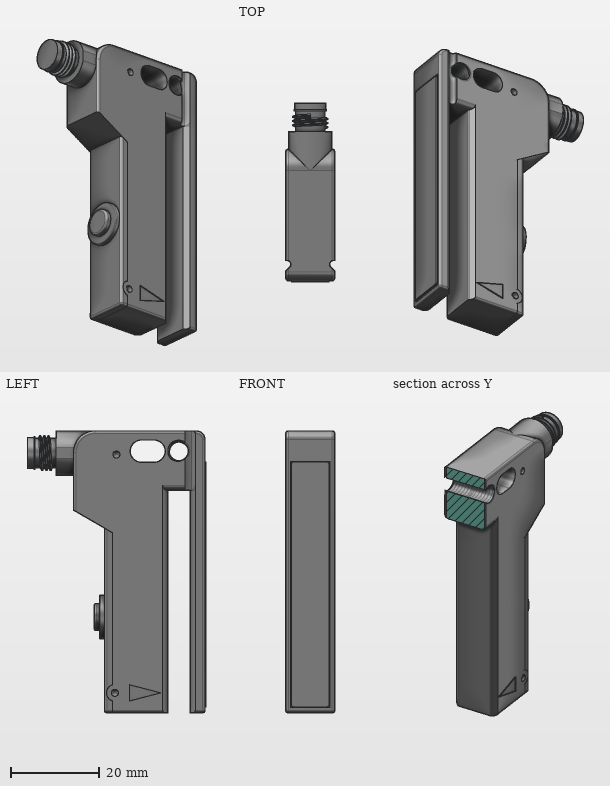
import cadquery as cq
import math


width = 11.15
half_width = width / 2
height = 64.0
edge_round = 0.6
overcut = 1.0

gap_front = 3.4
gap_back = 8.5
gap_top = 50.5
gap_bevel = 1.15
arm_front_round = 0.5
arm_back = 22.9
front_corner_radius = 2.0

head_back = 29.9
head_front = 14.0
head_corner_radius = 4.9
slant_angle = math.radians(30)
slant_back_z = 46.0

groove_radius = 0.85
groove_depth = gap_bevel

mount_z = 59.4
slot_y = 13.05
slot_length = 7.9
slot_width = 5.0
screw_y = 6.0
screw_bore = 4.3
screw_major = 5.0
screw_pitch = 0.8

dimple_diameter = 1.6
upper_dimple = (20.15, 58.65)
lower_dimple = (20.5, 4.55)
arrow_tip_y = 10.1
arrow_back_y = 17.2
arrow_half_height = 1.85
arrow_depth = 0.2

cover_front = 21.05
cover_notch_radius = 1.9

pocket_width = 9.0
pocket_bottom = 1.2
pocket_top = 57.1
pocket_depth = 0.2
label_clearance = 0.2
label_projection = 0.2
label_corner_radius = 0.5

button_z = 21.75
flange_diameter = 9.95
flange_thickness = 1.05
flange_round = 0.2
cap_diameter = 6.2
cap_height = 1.25
cap_round = 0.5

barrel_radius = 5.04
barrel_z = height - barrel_radius
barrel_back = 33.85
barrel_flat_distance = 4.88
connector_back = 40.35
tip_length = 1.5
tip_diameter = 7.1
ring_width = 0.25
ring_diameter = 7.45
neck_diameter = 6.8
plug_major = 8.0
plug_pitch = 0.95
plug_thread_start = 34.85
plug_thread_turns = 2.75

thread_overlap = 0.1
thread_root_share = 0.9
thread_crest_share = 0.2


def side_profile(points):
    """Closed polygon of (y, z) points in the middle plane X = 0."""
    return cq.Workplane("YZ").polyline(points).close()


def through_width(sketch):
    """Extrude a side sketch a little past both flanks."""
    return sketch.extrude(half_width + overcut, both=True)


def y_cylinder(diameter, y_start, y_end, z):
    """Cylinder along Y with its axis in the middle plane."""
    plane = cq.Plane(origin=(0, y_start, z), xDir=(1, 0, 0), normal=(0, 1, 0))
    return cq.Workplane(plane).circle(diameter / 2).extrude(y_end - y_start)


def helical_ridge(root_radius, crest_radius, pitch, length):
    """Trapezoidal thread ridge winding about +Z from Z = 0."""
    helix = cq.Workplane(cq.Wire.makeHelix(pitch, length, root_radius))
    half_root = thread_root_share * pitch / 2
    half_crest = thread_crest_share * pitch / 2
    section = [
        (root_radius, -half_root),
        (crest_radius, -half_crest),
        (crest_radius, half_crest),
        (root_radius, half_root),
    ]
    return cq.Workplane("XZ").polyline(section).close().sweep(helix, isFrenet=True)


def fork_block():
    """Plate and arm as one rounded block, before the gap is cut."""
    block = cq.Workplane("XY").box(width, arm_back, height, centered=(True, False, False))
    block = block.edges("|X and >Z and <Y").fillet(front_corner_radius)
    return block.faces("<X or >X or <Z").edges().fillet(edge_round)


def head_block():
    """Upper block that carries the connector, cut off by the slant below."""
    slant_drop = (head_back - head_front) * math.tan(slant_angle)
    head_bottom = slant_back_z - slant_drop - overcut
    block = (
        cq.Workplane("XY", origin=(0, head_front, head_bottom))
        .box(width, head_back - head_front, height - head_bottom, centered=(True, False, False))
        .edges("|X and >Z and >Y")
        .fillet(head_corner_radius)
        .faces("<X or >X")
        .edges()
        .fillet(edge_round)
    )
    below_slant = through_width(side_profile([
        (head_front - overcut, slant_back_z - slant_drop - overcut * math.tan(slant_angle)),
        (head_back + overcut, slant_back_z + overcut * math.tan(slant_angle)),
        (head_back + overcut, head_bottom - overcut),
        (head_front - overcut, head_bottom - overcut),
    ]))
    return block.cut(below_slant)


def gap_cutter():
    """Fork gap with 45 degree flank bevels and a rounded underside of the bridge."""
    gap = through_width(side_profile([
        (gap_front, -overcut), (gap_back, -overcut), (gap_back, gap_top), (gap_front, gap_top),
    ]))
    bridge_span = gap_back + gap_bevel + overcut
    for side in (-1, 1):
        bevel = (
            cq.Workplane("YZ", origin=(side * (half_width - gap_bevel), 0, 0))
            .center((gap_front + gap_back) / 2, (gap_top - overcut) / 2)
            .rect(gap_back - gap_front, gap_top + overcut)
            .workplane(offset=side * gap_bevel)
            .rect(gap_back - gap_front + 2 * gap_bevel, gap_top + overcut + 2 * gap_bevel)
            .loft(ruled=True)
        )
        bridge_edge = (
            y_cylinder(2 * gap_bevel, 0, bridge_span, gap_top + gap_bevel)
            .translate((side * (half_width - gap_bevel), 0, 0))
        )
        gap = gap.union(bevel.cut(bridge_edge))
    return gap


def round_arm_front(body):
    """Round the two upright edges between the arm front and its bevels."""
    edge_x = half_width - gap_bevel
    reach = 0.01
    for side in (-1, 1):
        corner = cq.selectors.BoxSelector(
            (side * edge_x - reach, gap_back - reach, 0),
            (side * edge_x + reach, gap_back + reach, gap_top),
        )
        body = body.edges(corner).fillet(arm_front_round)
    return body


def side_groove(side):
    """Groove beside the bridge: a rear wall, a round floor and a 45 degree front slope."""
    lean = groove_radius * math.sqrt(0.5)
    floor_x = half_width - groove_depth
    center_x = floor_x + groove_radius
    slope_start_x = center_x - lean
    slope_end_y = gap_front - gap_bevel
    slope_start_y = slope_end_y + half_width - slope_start_x
    center_y = slope_start_y + lean
    outside_x = half_width + overcut
    return (
        cq.Workplane("XY", origin=(0, 0, gap_top))
        .moveTo(side * outside_x, center_y + groove_radius)
        .lineTo(side * center_x, center_y + groove_radius)
        .threePointArc((side * floor_x, center_y), (side * slope_start_x, slope_start_y))
        .lineTo(side * outside_x, slope_end_y - overcut)
        .close()
        .extrude(height)
    )


def screw_thread():
    """Helical thread groove around the cross hole."""
    hole_length = width + 2 * overcut
    root_radius = screw_bore / 2 - thread_overlap
    thread = helical_ridge(root_radius, screw_major / 2, screw_pitch, hole_length)
    return thread.rotate((0, 0, 0), (0, 1, 0), 90).translate((-hole_length / 2, screw_y, mount_z))


def connector():
    """Barrel with two side flats and the threaded plug end."""
    barrel = y_cylinder(2 * barrel_radius, head_back - head_corner_radius, barrel_back, barrel_z)
    flats = cq.Workplane("XY").box(2 * barrel_flat_distance, 4 * head_back, 4 * height)
    tip_front = connector_back - tip_length
    neck = y_cylinder(neck_diameter, barrel_back, tip_front, barrel_z)
    tip = y_cylinder(tip_diameter, tip_front, connector_back, barrel_z)
    ring = y_cylinder(ring_diameter, tip_front - ring_width, tip_front, barrel_z)
    root_radius = neck_diameter / 2 - thread_overlap
    thread = (
        helical_ridge(root_radius, plug_major / 2, plug_pitch, plug_thread_turns * plug_pitch)
        .rotate((0, 0, 0), (1, 0, 0), -90)
        .translate((0, plug_thread_start, barrel_z))
    )
    return barrel.intersect(flats).union(neck).union(tip).union(ring).union(thread)


def arrow_recess(side):
    """Shallow arrow on a flank, level with the lower dimple and pointing at the gap."""
    arrow_z = lower_dimple[1]
    return (
        side_profile([
            (arrow_tip_y, arrow_z),
            (arrow_back_y, arrow_z + arrow_half_height),
            (arrow_back_y, arrow_z - arrow_half_height),
        ])
        .extrude(side * arrow_depth)
        .translate((side * (half_width - arrow_depth), 0, 0))
    )


def dimple(side, place):
    """Hemispherical dimple in a flank."""
    ball = cq.Workplane("XY").sphere(dimple_diameter / 2).rotate((0, 0, 0), (0, 1, 0), 90)
    return ball.translate((side * half_width, *place))


def label_plate(clearance, y_start, y_end):
    """Flat plate that fills the label pocket less a clearance all round."""
    return (
        cq.Workplane("XY", origin=(0, y_start, pocket_bottom + clearance))
        .box(
            pocket_width - 2 * clearance,
            y_end - y_start,
            pocket_top - pocket_bottom - 2 * clearance,
            centered=(True, False, False),
        )
    )


def cover_space():
    """Region of the arm taken by the cover: below the slant and around the dimple boss."""
    slant_drop = (head_back - cover_front) * math.tan(slant_angle)
    back = arm_back + overcut
    space = through_width(side_profile([
        (cover_front, -overcut),
        (back, -overcut),
        (back, slant_back_z - (head_back - back) * math.tan(slant_angle)),
        (cover_front, slant_back_z - slant_drop),
    ]))
    boss = through_width(cq.Workplane("YZ").center(*lower_dimple).circle(cover_notch_radius))
    return space.cut(boss)


shell = fork_block().union(head_block())
cover = shell.intersect(cover_space())

housing = shell.cut(cover_space()).cut(gap_cutter())
housing = round_arm_front(housing)
housing = housing.cut(through_width(cq.Workplane("YZ").center(slot_y, mount_z).slot2D(slot_length, slot_width)))
housing = housing.cut(through_width(cq.Workplane("YZ").center(screw_y, mount_z).circle(screw_bore / 2)))
for flank in (-1, 1):
    housing = housing.cut(side_groove(flank)).cut(arrow_recess(flank))
    for place in (upper_dimple, lower_dimple):
        housing = housing.cut(dimple(flank, place), clean=False)
housing = housing.cut(label_plate(0, 0, pocket_depth), clean=False)
housing = housing.cut(screw_thread(), clean=False)
housing = housing.union(connector(), clean=False)

label = label_plate(label_clearance, -label_projection, pocket_depth).edges("|Y").fillet(label_corner_radius)

flange_back = arm_back + flange_thickness
flange = y_cylinder(flange_diameter, arm_back, flange_back, button_z).faces(">Y").edges().fillet(flange_round)
cap = y_cylinder(cap_diameter, flange_back, flange_back + cap_height, button_z).faces(">Y").edges().fillet(cap_round)
button = flange.union(cap)

result = cq.Compound.makeCompound([housing.val(), cover.val(), label.val(), button.val()])